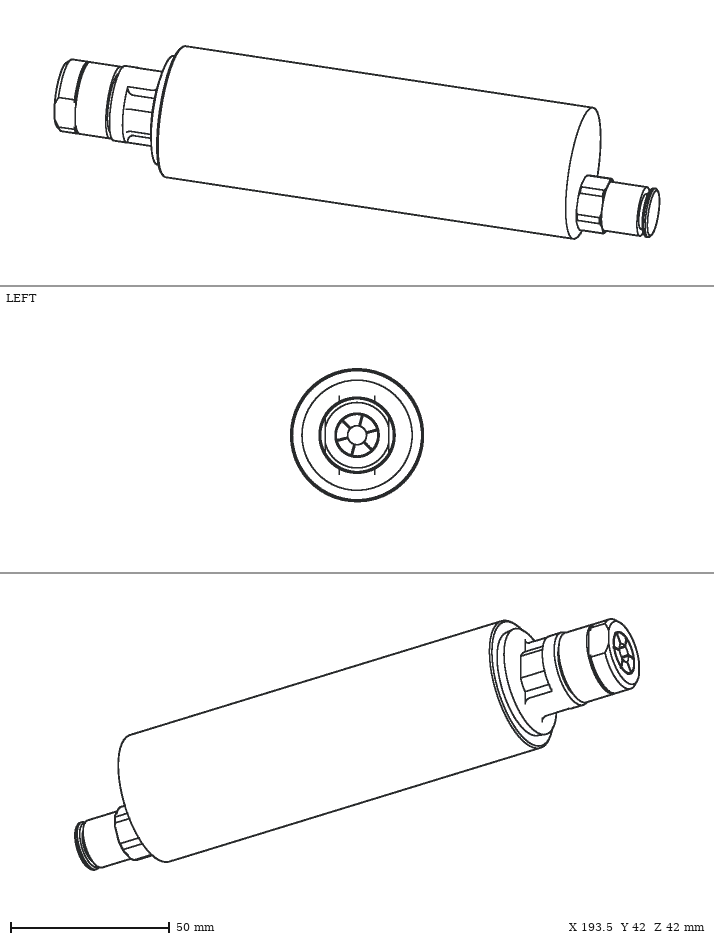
import cadquery as cq
import math

LENGTH = 193.5

BODY_D = 42.0
BODY_START = 36.4
BODY_END = 170.5
BODY_CHAMFER = 0.5

NUT_D = 23.0
NUT_END = 7.2
NUT_CHAMFER_LENGTH = 1.4
NUT_CHAMFER_DEPTH = 1.2
NUT_FLATS = 20.1
RELIEF_D = 22.3
RELIEF_WIDTH = 0.5

NOSE_END = 17.2
NOSE_GROOVE_D = 19.0
COLLAR_D = 24.0
COLLAR_START = 18.5

CAP_FACE = 32.5
CAP_FILLET = 1.5
CAP_CONE_END = 33.7
CAP_RIM_D = 34.8
CAP_BACK_D = 34.0

NECK_START = 22.8
NECK_FLOOR = 5.6
NECK_D = 19.0
NECK_FLATS = 17.0
NECK_FILLET = 2.0

COLLET_GAP_D = 14.0
COLLET_D = 13.2
COLLET_BORE_D = 6.0
COLLET_GAP_DEPTH = 2.0
COLLET_BORE_DEPTH = 15.5
COLLET_SLOT_WIDTH = 0.4
COLLET_SLOTS = 6
COLLET_SLOT_ANGLE = 45.0

FITTING_Z = -11.0
FITTING_D = 15.7
HEX_FLATS = 16.3
HEX_TURN = 30.0
HEX_CORNER_D = 17.6
HEX_END = 178.6
HEX_CHAMFER = 0.4
FITTING_END = 190.2
FITTING_GROOVE_D = 11.2
RING_START = 191.8
RING_CHAMFER = 0.5


def disc(start, end, diameter, z=0.0):
    """Round bar along X between two stations."""
    return cq.Workplane("YZ", origin=(start, 0, z)).circle(diameter / 2).extrude(end - start)


def block(start, end, y_min, y_max, height):
    """Rectangular block centred on Z = 0."""
    return (
        cq.Workplane("XY")
        .box(end - start, y_max - y_min, height)
        .translate(((start + end) / 2, (y_min + y_max) / 2, 0))
    )


def make_spindle():
    """Nut, nose, collar, cap and housing as one turned profile."""
    nut_r = NUT_D / 2
    collar_r = COLLAR_D / 2
    cap_face_r = collar_r + CAP_FILLET
    fillet_start = CAP_FACE - CAP_FILLET
    arc_mid = (
        fillet_start + CAP_FILLET * math.sin(math.pi / 4),
        cap_face_r - CAP_FILLET * math.cos(math.pi / 4),
    )
    return (
        cq.Workplane("XY")
        .moveTo(0, 0)
        .lineTo(0, nut_r - NUT_CHAMFER_DEPTH)
        .lineTo(NUT_CHAMFER_LENGTH, nut_r)
        .lineTo(NUT_END - RELIEF_WIDTH, nut_r)
        .lineTo(NUT_END - RELIEF_WIDTH, RELIEF_D / 2)
        .lineTo(NUT_END, RELIEF_D / 2)
        .lineTo(NUT_END, nut_r)
        .lineTo(NOSE_END, nut_r)
        .lineTo(NOSE_END, NOSE_GROOVE_D / 2)
        .lineTo(COLLAR_START, NOSE_GROOVE_D / 2)
        .lineTo(COLLAR_START, collar_r)
        .lineTo(fillet_start, collar_r)
        .threePointArc(arc_mid, (CAP_FACE, cap_face_r))
        .lineTo(CAP_CONE_END, CAP_RIM_D / 2)
        .lineTo(BODY_START, CAP_BACK_D / 2)
        .lineTo(BODY_START, BODY_D / 2 - BODY_CHAMFER)
        .lineTo(BODY_START + BODY_CHAMFER, BODY_D / 2)
        .lineTo(BODY_END, BODY_D / 2)
        .lineTo(BODY_END, 0)
        .close()
        .revolve(360, (0, 0, 0), (1, 0, 0))
    )


def cut_nut_flats(part):
    """Two wrench flats on the sides of the nut."""
    for side in (-1, 1):
        y_edges = sorted((side * NUT_FLATS / 2, side * NUT_D))
        part = part.cut(block(0, NUT_END, *y_edges, NUT_D))
    return part


def cut_wrench_neck(part):
    """Side pockets that leave a round neck with two flats and a filleted root."""
    neck = disc(NECK_START, CAP_FACE, NECK_D)
    neck = neck.intersect(block(NECK_START, CAP_FACE, -NECK_FLATS / 2, NECK_FLATS / 2, NECK_D))
    shoulder = disc(COLLAR_START, NECK_START, 2 * COLLAR_D)
    root_box = cq.selectors.BoxSelector(
        (NECK_START - NECK_FILLET, -NECK_D, -NECK_D),
        (NECK_START + NECK_FILLET, NECK_D, NECK_D),
    )
    neck = shoulder.union(neck)
    neck = neck.edges(root_box).fillet(NECK_FILLET)
    for side in (-1, 1):
        y_edges = sorted((side * NECK_FLOOR, side * COLLAR_D))
        pocket = block(NECK_START, CAP_FACE, *y_edges, 2 * COLLAR_D)
        part = part.cut(pocket.cut(neck))
    return part


def cut_collet(part):
    """V-shaped ring gap, centre bore and radial slots of the collet."""
    gap = (
        cq.Workplane("XY")
        .moveTo(0, COLLET_D / 2)
        .lineTo(COLLET_GAP_DEPTH, (COLLET_D + COLLET_GAP_D) / 4)
        .lineTo(0, COLLET_GAP_D / 2)
        .close()
        .revolve(360, (0, 0, 0), (1, 0, 0))
    )
    part = part.cut(gap).cut(disc(0, COLLET_BORE_DEPTH, COLLET_BORE_D))
    slot = block(0, COLLET_GAP_DEPTH, 0, COLLET_GAP_D / 2, COLLET_SLOT_WIDTH)
    for i in range(COLLET_SLOTS):
        angle = COLLET_SLOT_ANGLE + i * 360 / COLLET_SLOTS
        part = part.cut(slot.rotate((0, 0, 0), (1, 0, 0), angle))
    return part


def make_fitting():
    """Hex base, barrel, grooved stem and release ring of the hose fitting."""
    hexagon = (
        cq.Workplane("YZ", origin=(BODY_END, 0, FITTING_Z))
        .polygon(6, HEX_FLATS, circumscribed=True)
        .extrude(HEX_END - BODY_END)
        .rotate((0, 0, FITTING_Z), (1, 0, FITTING_Z), HEX_TURN)
    )
    corner_round = disc(BODY_END, HEX_END, HEX_CORNER_D, FITTING_Z).edges().chamfer(HEX_CHAMFER)
    hexagon = hexagon.intersect(corner_round)
    ring = disc(RING_START, LENGTH, FITTING_D, FITTING_Z).edges().chamfer(RING_CHAMFER)
    stem = disc(BODY_END, LENGTH, FITTING_GROOVE_D, FITTING_Z)
    barrel = disc(BODY_END, FITTING_END, FITTING_D, FITTING_Z)
    return hexagon.union(barrel).union(stem).union(ring)


spindle = cut_collet(cut_wrench_neck(cut_nut_flats(make_spindle())))
result = spindle.union(make_fitting())